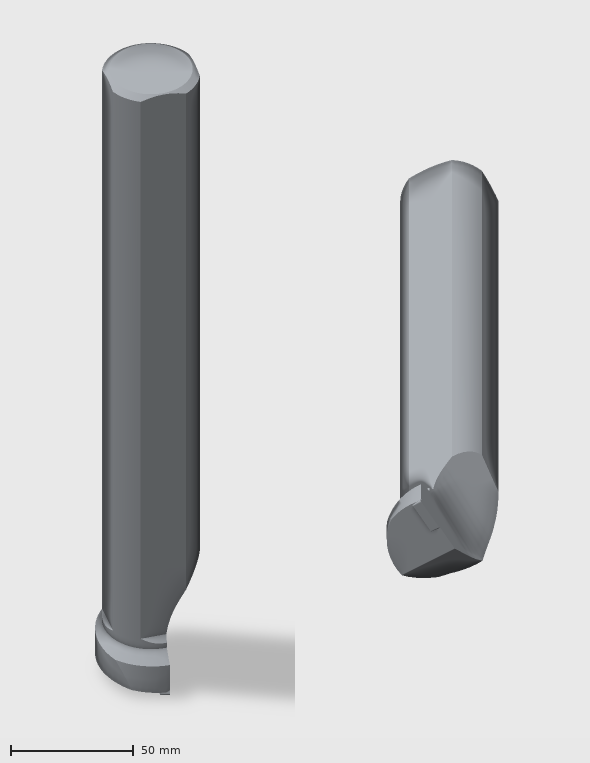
import cadquery as cq
import math


shank_radius = 20.0
shank_top = 300.0
side_flat = 18.5
nose_side_flat = 17.5
flat_end = 20.7
top_chamfer_radial = 3.0
top_chamfer_height = 2.0

collar_bottom = 18.2
shoulder_slope = 0.68
head_radius = 25.5
head_center_x = 3.6
head_lowest_y = -23.7
end_face_angle = 7.0
relief_lean = 10.5
relief_radius = 26.25
relief_center_y = -2.0
end_face_height = 0.1
heel_corner_x = 0.0

rake_angle = 5.7
gullet_floor_top = 20.3
gullet_tilt = 13.0
gullet_radius = 40.0
gullet_ramp_angle = 31.0

inscribed_diameter = 9.525
insert_thickness = 3.97
corner_radius = 0.8
insert_flank_angle = 7.0
lead_angle = 1.0
nose_x = 26.89
nose_bottom = -1.25

reach = 4 * shank_radius


def flat_cut(distance, direction):
    """Material outside one shank flat, ending in a 45 degree runout at the bottom."""
    profile = [
        (distance, shank_top),
        (distance, flat_end + shank_radius - distance),
        (shank_radius, flat_end),
        (reach, flat_end),
        (reach, shank_top),
    ]
    slab = cq.Workplane("XZ").polyline(profile).close().extrude(shank_radius, both=True)
    return slab.rotate((0, 0, 0), (0, 0, 1), direction)


def make_shank():
    chamfer_start = shank_top - top_chamfer_height
    profile = [
        (0, collar_bottom),
        (shank_radius, collar_bottom),
        (shank_radius, chamfer_start),
        (shank_radius - top_chamfer_radial, shank_top),
        (0, shank_top),
    ]
    shank = cq.Workplane("XZ").polyline(profile).close().revolve(360, (0, 0, 0), (0, 1, 0))
    for distance, direction in [(nose_side_flat, 0), (side_flat, 90), (side_flat, -90)]:
        shank = shank.cut(flat_cut(distance, direction))
    return shank


def leaning(solid, angle):
    """Lean a tool that stands on the end face, so that its top moves toward +Y."""
    return solid.rotate((0, 0, 0), (1, 0, 0), -angle).translate((0, 0, end_face_height))


def make_head():
    head_center_y = head_lowest_y + head_radius
    head = (
        cq.Workplane("XY", origin=(head_center_x, head_center_y, -shank_radius))
        .circle(head_radius)
        .extrude(shank_radius + collar_bottom)
    )
    cone_drop = shoulder_slope * shank_radius
    cone_profile = [
        (0, collar_bottom),
        (shank_radius, collar_bottom),
        (2 * shank_radius, collar_bottom - cone_drop),
        (2 * shank_radius, -reach),
        (0, -reach),
    ]
    cone = cq.Workplane("XZ").polyline(cone_profile).close().revolve(360, (0, 0, 0), (0, 1, 0))
    above_end_face = leaning(cq.Workplane("XY").rect(reach, reach).extrude(reach), end_face_angle)
    relief = cq.Workplane("XY").center(0, relief_center_y).circle(relief_radius).extrude(reach, both=True)
    return head.intersect(cone).intersect(above_end_face).intersect(leaning(relief, relief_lean))


def heel_cut():
    """Everything below the 45 degree heel face on the -X side."""
    profile = [
        (heel_corner_x + reach, end_face_height - reach),
        (heel_corner_x - reach, end_face_height + reach),
        (heel_corner_x - reach, end_face_height - reach),
    ]
    return cq.Workplane("XZ").polyline(profile).close().extrude(reach, both=True)


def gullet_cut():
    """Flat rake face, rising through an arc into a ramp; turned about the nose by the rake angle."""
    ramp = math.radians(gullet_ramp_angle)
    arc_end = (gullet_radius * (1 - math.cos(ramp)), gullet_floor_top + gullet_radius * math.sin(ramp))
    half_ramp = ramp / 2
    arc_mid = (
        gullet_radius * (1 - math.cos(half_ramp)),
        gullet_floor_top + gullet_radius * math.sin(half_ramp),
    )
    ramp_end = (reach, arc_end[1] + (reach - arc_end[0]) / math.tan(ramp))
    cutter = (
        cq.Workplane("YZ")
        .moveTo(0, -reach)
        .lineTo(0, gullet_floor_top)
        .threePointArc(arc_mid, arc_end)
        .lineTo(*ramp_end)
        .lineTo(reach, -reach)
        .close()
        .extrude(reach, both=True)
    )
    pivot = (0, 0, gullet_floor_top)
    cutter = cutter.rotate(pivot, (0, 1, gullet_floor_top), -gullet_tilt)
    return cutter.rotate((0, 0, 0), (0, 0, 1), -rake_angle).translate((nose_x, 0, 0))


def make_insert():
    """Triangular insert with tapered flanks; its top lies in the rake face."""
    core_inradius = inscribed_diameter / 2 - corner_radius
    core_corner = 2 * core_inradius
    nose_direction = -30 - lead_angle
    corners = []
    for turn in (0, 120, 240):
        angle = math.radians(nose_direction + turn)
        corners.append((core_corner * math.cos(angle), core_corner * math.sin(angle)))
    nose_corner_x, nose_corner_z = corners[0]
    center_x = nose_x - corner_radius - nose_corner_x
    center_z = nose_bottom + corner_radius - nose_corner_z
    insert = (
        cq.Workplane("XZ", origin=(center_x - nose_x, 0, center_z))
        .polyline(corners)
        .close()
        .offset2D(corner_radius)
        .extrude(insert_thickness, taper=insert_flank_angle)
    )
    return insert.rotate((0, 0, 0), (0, 0, 1), -rake_angle).translate((nose_x, 0, 0))


insert = make_insert()
bar = make_shank().union(make_head()).cut(heel_cut()).cut(gullet_cut()).cut(insert)

result = cq.Compound.makeCompound([bar.val(), insert.val()])